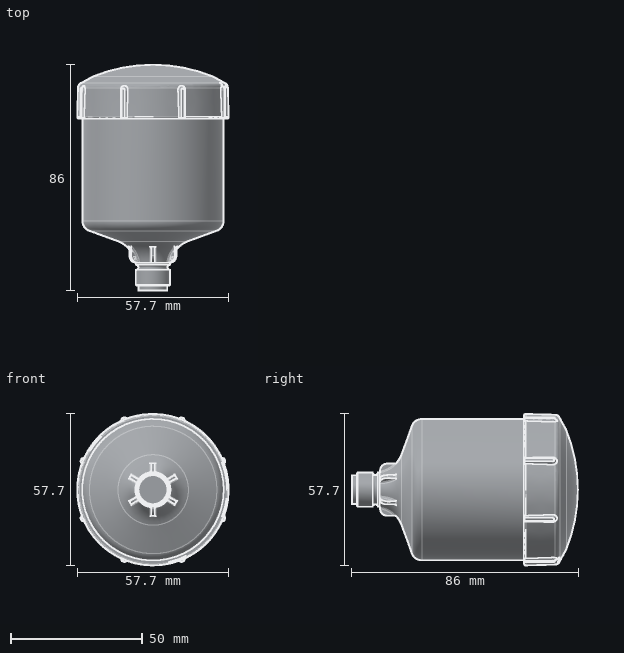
import cadquery as cq
import math

total_length = 86.0

tip_radius = 11.0 / 2
tip_length = 1.8
collar_radius = 13.2 / 2
collar_chamfer = 0.5
collar_top = 7.9
groove_radius = 5.6
groove_top = 9.9
neck_base = 10.7

neck_radius = 6.7
cone_angle = math.radians(20)
cone_inner_radius = 13.4
cone_inner_height = 18.8
body_radius = 53.9 / 2
shoulder_radius = 4.05

lid_base = 65.5
lid_base_rounding = 0.7
lid_wall_radius = 57.7 / 2
lid_wall_top = 77.3
lid_wall_top_radius = 28.6
lid_slope_base = 79.15
lid_slope_base_radius = 27.2
dome_base = 81.6
dome_radius = 45.6 / 2

neck_rib_count = 6
first_neck_rib_angle = 180 / neck_rib_count
neck_rib_width = 1.4
neck_rib_outer_radius = 10.0
neck_rib_top = 16.9
neck_rib_rounding = 2.8
neck_rib_root_fillet = 0.5

grip_rib_count = 8
first_grip_rib_angle = 180 / grip_rib_count
grip_rib_outer_radius = 29.6
grip_rib_base_width = 2.5
grip_rib_crest_width = 1.2
grip_rib_base = 65.8
grip_rib_end_center = 76.4
grip_rib_root_depth = 0.5


def revolve_about_y(profile):
    """Turn a closed (radius, Y) profile fully around the Y axis."""
    return profile.close().revolve(360, (0, 0, 0), (0, 1, 0))


def make_funnel():
    """Cylindrical body, tangent shoulder, cone and flared neck."""
    shoulder_base_radius = body_radius - shoulder_radius * (1 - math.sin(cone_angle))
    cone_rise = (shoulder_base_radius - cone_inner_radius) * math.tan(cone_angle)
    shoulder_base = cone_inner_height + cone_rise
    shoulder_top = shoulder_base + shoulder_radius * math.cos(cone_angle)

    profile = (
        cq.Workplane("XY")
        .moveTo(0, lid_base)
        .lineTo(body_radius, lid_base)
        .lineTo(body_radius, shoulder_top)
        .tangentArcPoint((shoulder_base_radius, shoulder_base), relative=False)
        .lineTo(cone_inner_radius, cone_inner_height)
        .tangentArcPoint((neck_radius, neck_base), relative=False)
        .lineTo(0, neck_base)
    )
    return revolve_about_y(profile)


def make_spigot():
    """Stepped outlet below the neck: flange, round groove, chamfered collar and tip."""
    profile = (
        cq.Workplane("XY")
        .moveTo(0, neck_base)
        .lineTo(collar_radius, neck_base)
        .lineTo(collar_radius, groove_top)
        .threePointArc((groove_radius, (groove_top + collar_top) / 2), (collar_radius, collar_top))
        .lineTo(collar_radius, tip_length + collar_chamfer)
        .lineTo(collar_radius - collar_chamfer, tip_length)
        .lineTo(tip_radius, tip_length)
        .lineTo(tip_radius, 0)
        .lineTo(0, 0)
    )
    return revolve_about_y(profile)


def make_lid():
    """Slightly tapered lid wall with a rounded base edge, a rounded rim and a domed top."""
    sphere_radius = (dome_radius**2 + (total_length - dome_base) ** 2) / (2 * (total_length - dome_base))
    dome_mid_radius = dome_radius / 2
    dome_mid = total_length - sphere_radius + math.sqrt(sphere_radius**2 - dome_mid_radius**2)

    profile = (
        cq.Workplane("XY")
        .moveTo(0, lid_base)
        .lineTo(lid_wall_radius - lid_base_rounding, lid_base)
        .tangentArcPoint((lid_wall_radius, lid_base + lid_base_rounding), relative=False)
        .lineTo(lid_wall_top_radius, lid_wall_top)
        .tangentArcPoint((lid_slope_base_radius, lid_slope_base), relative=False)
        .lineTo(dome_radius, dome_base)
        .threePointArc((dome_mid_radius, dome_mid), (0, total_length))
    )
    return revolve_about_y(profile)


def make_neck_rib():
    """Radial fin on the +X side of the neck, rounded at its lower outer corner."""
    arc_middle = neck_rib_rounding * (1 - math.sqrt(0.5))
    return (
        cq.Workplane("XY")
        .moveTo(0, neck_base)
        .lineTo(neck_rib_outer_radius - neck_rib_rounding, neck_base)
        .threePointArc(
            (neck_rib_outer_radius - arc_middle, neck_base + arc_middle),
            (neck_rib_outer_radius, neck_base + neck_rib_rounding),
        )
        .lineTo(neck_rib_outer_radius, neck_rib_top)
        .lineTo(0, neck_rib_top)
        .close()
        .extrude(neck_rib_width / 2, both=True)
    )


def make_grip_rib():
    """Trapezoidal bar on the +X side of the lid wall, ending in half of a blunt cone at the top."""
    root_radius = lid_wall_top_radius - grip_rib_root_depth
    crest_half_width = grip_rib_crest_width / 2
    side_slope = (grip_rib_base_width / 2 - crest_half_width) / (grip_rib_outer_radius - lid_wall_radius)
    height = grip_rib_outer_radius - root_radius
    root_half_width = crest_half_width + side_slope * height
    bar = (
        cq.Workplane("XZ", origin=(0, grip_rib_base, 0))
        .moveTo(root_radius, -root_half_width)
        .lineTo(grip_rib_outer_radius, -crest_half_width)
        .lineTo(grip_rib_outer_radius, crest_half_width)
        .lineTo(root_radius, root_half_width)
        .close()
        .extrude(grip_rib_base - grip_rib_end_center)
    )
    end_cone = cq.Solid.makeCone(
        root_half_width,
        crest_half_width,
        height,
        cq.Vector(root_radius, grip_rib_end_center, 0),
        cq.Vector(1, 0, 0),
    )
    return bar.union(cq.Workplane(end_cone))


def ring_about_y(body, count, first_angle):
    """Copies of body spaced evenly around the Y axis."""
    return [body.rotate((0, 0, 0), (0, 1, 0), first_angle + i * 360 / count) for i in range(count)]


def add_neck_ribs(funnel):
    """Join the fins to the neck and round the corners where they meet it."""
    ribbed = funnel
    for rib in ring_about_y(make_neck_rib(), neck_rib_count, first_neck_rib_angle):
        ribbed = ribbed.union(rib)
    rib_zone = cq.selectors.BoxSelector(
        (-neck_rib_outer_radius, neck_base, -neck_rib_outer_radius),
        (neck_rib_outer_radius, neck_rib_top, neck_rib_outer_radius),
    )
    return ribbed.edges(rib_zone).edges("%BSPLINE").fillet(neck_rib_root_fillet)


result = add_neck_ribs(make_funnel()).union(make_spigot()).union(make_lid())
for grip_rib in ring_about_y(make_grip_rib(), grip_rib_count, first_grip_rib_angle):
    result = result.union(grip_rib)